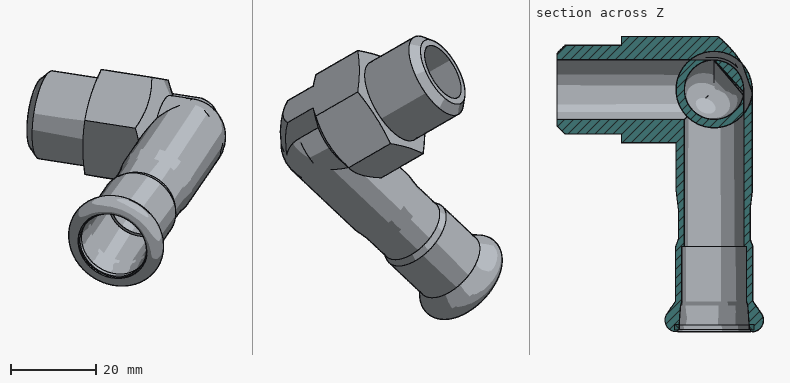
import cadquery as cq
import math

thread_end_x = -37.0
hex_face_x = -21.8
mouth_y = -57.0

thread_radius = 10.5
thread_chamfer = 1.95
hex_flats = 25.0
hex_corner_radius = hex_flats / math.sqrt(3)
hex_front_chamfer = 0.5
hex_back_corner_x = -8.8
bore_radius = 6.985

arm_radius = 9.0
neck_radius = 8.515
sleeve_radius = 9.14
bead_radius = 11.6
bead_shoulder_radius = 11.25
arm_end_y = -23.85
neck_start_y = -27.95
neck_end_y = -35.25
sleeve_start_y = -36.9
sleeve_end_y = -49.75
bead_shoulder_y = -52.8
bead_crest_y = -54.55

socket_radius = 7.61
socket_floor_y = -36.9
entry_radius = 7.89
entry_mouth_radius = 8.2
entry_floor_y = -49.9
entry_ramp_end_y = -50.8
mouth_radius = 9.0
lip_radius = 8.515
groove_start_y = -56.4
groove_end_y = -55.3
groove_radius = 9.3
seal_inner_radius = 8.2

ridge_half_width = 4.85
hex_half = hex_flats / 2
ridge_top_half_width = 3.8
dome_tilt = 43.0
dome_bulge = 0.5
dome_length = 9.7
straight_end_x = -1.4


def revolve_about_x(profile):
    return profile.close().revolve(360, (0, 0, 0), (1, 0, 0))


def revolve_about_y(profile):
    return profile.close().revolve(360, (0, 0, 0), (0, 1, 0))


def make_thread():
    length = hex_face_x - thread_end_x
    return (
        cq.Workplane("YZ", origin=(thread_end_x, 0, 0))
        .circle(thread_radius)
        .extrude(length)
        .faces("<X")
        .chamfer(thread_chamfer)
    )


def make_hexagon():
    """Hexagon with corners on Z, shaved by a front chamfer and a rear cone that runs to the arm."""
    cone_slope = math.tan(math.radians(30))
    cone_end_x = hex_back_corner_x + (hex_corner_radius - arm_radius) * cone_slope
    hexagon = (
        cq.Workplane("YZ", origin=(hex_face_x, 0, 0))
        .polygon(6, 2 * hex_corner_radius)
        .extrude(cone_end_x - hex_face_x)
        .rotate((0, 0, 0), (1, 0, 0), 90)
    )
    envelope = revolve_about_x(
        cq.Workplane("XY")
        .moveTo(hex_face_x, 0)
        .lineTo(hex_face_x, hex_half)
        .lineTo(hex_face_x + hex_front_chamfer, hex_corner_radius)
        .lineTo(hex_back_corner_x, hex_corner_radius)
        .lineTo(cone_end_x, arm_radius)
        .lineTo(cone_end_x, 0)
    )
    return hexagon.intersect(envelope)


def make_bend():
    """Cylinder from the hexagon to a ball at the corner."""
    neck = cq.Workplane("YZ").circle(arm_radius).extrude(hex_back_corner_x)
    return neck.union(cq.Workplane("XY").sphere(arm_radius))


def make_ridge():
    """Tapered ridge behind the bend, level with a hexagon flat, ended by a dome on a slanted axis."""
    shoulder_y = math.sqrt(arm_radius**2 - ridge_half_width**2)
    ridge = (
        cq.Workplane("YZ", origin=(hex_back_corner_x, 0, 0))
        .moveTo(0, -ridge_half_width)
        .lineTo(shoulder_y, -ridge_half_width)
        .lineTo(hex_half, -ridge_top_half_width)
        .lineTo(hex_half, ridge_top_half_width)
        .lineTo(shoulder_y, ridge_half_width)
        .lineTo(0, ridge_half_width)
        .close()
        .extrude(arm_radius - hex_back_corner_x)
    )
    dome = revolve_about_y(
        cq.Workplane("XY")
        .lineTo(arm_radius, 0)
        .threePointArc((arm_radius + dome_bulge, dome_length / 2), (arm_radius, dome_length))
        .lineTo(arm_radius, hex_half)
        .lineTo(0, hex_half)
    ).rotate((0, 0, 0), (0, 0, 1), dome_tilt)
    straight_run = cq.Workplane("XY").box(
        straight_end_x - hex_back_corner_x, hex_half, 2 * arm_radius, centered=(False, False, True)
    ).translate((hex_back_corner_x, 0, 0))
    return ridge.intersect(dome.union(straight_run))


def make_press_arm():
    return revolve_about_y(
        cq.Workplane("XY")
        .lineTo(arm_radius, 0)
        .lineTo(arm_radius, arm_end_y)
        .lineTo(neck_radius, neck_start_y)
        .lineTo(neck_radius, neck_end_y)
        .lineTo(sleeve_radius, sleeve_start_y)
        .lineTo(sleeve_radius, sleeve_end_y)
        .lineTo(bead_shoulder_radius, bead_shoulder_y)
        .threePointArc((bead_radius, bead_crest_y), (mouth_radius, mouth_y))
        .lineTo(0, mouth_y)
    )


def make_bores():
    """Bores of both arms with a ball at the corner, and the stepped socket with its seal groove."""
    thread_bore = cq.Workplane("YZ").circle(bore_radius).extrude(thread_end_x)
    corner_ball = cq.Workplane("XY").sphere(bore_radius)
    socket = revolve_about_y(
        cq.Workplane("XY")
        .lineTo(bore_radius, 0)
        .lineTo(bore_radius, socket_floor_y)
        .lineTo(socket_radius, socket_floor_y)
        .lineTo(socket_radius, entry_floor_y)
        .lineTo(entry_radius, entry_ramp_end_y)
        .lineTo(entry_mouth_radius, groove_end_y)
        .lineTo(groove_radius, groove_end_y)
        .lineTo(groove_radius, groove_start_y)
        .lineTo(lip_radius, groove_start_y)
        .lineTo(lip_radius, mouth_y)
        .lineTo(0, mouth_y)
    )
    return thread_bore.union(corner_ball).union(socket)


def make_elbow():
    outside = make_bend().union(make_press_arm()).union(make_ridge())
    outside = outside.union(make_hexagon()).union(make_thread())
    return outside.cut(make_bores())


def make_seal():
    """Flat ring that fills the groove and stands slightly inside the lip."""
    return revolve_about_y(
        cq.Workplane("XY")
        .moveTo(groove_radius, groove_start_y)
        .lineTo(seal_inner_radius, groove_start_y)
        .lineTo(seal_inner_radius, groove_end_y)
        .lineTo(groove_radius, groove_end_y)
    )


elbow = make_elbow()
seal = make_seal()
result = cq.Compound.makeCompound([elbow.val(), seal.val()])